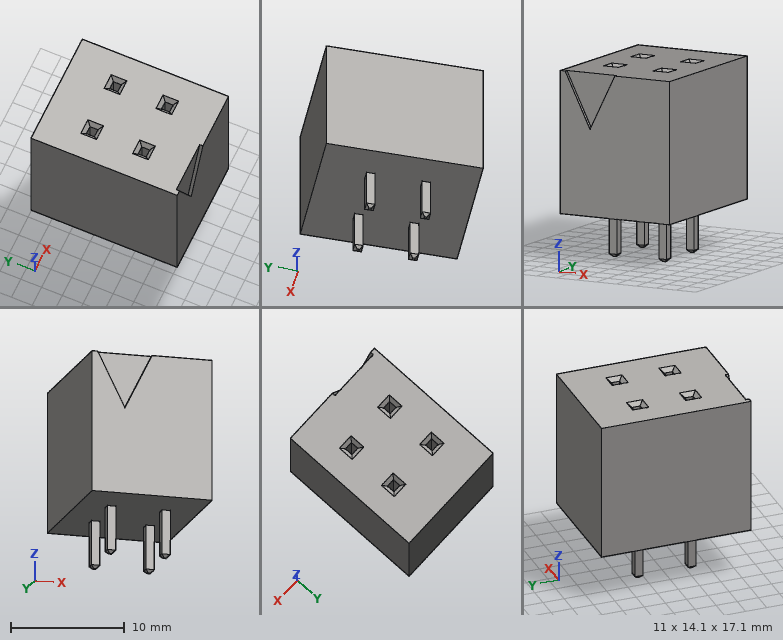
import cadquery as cq

HOUSING_WIDTH = 11.0
HOUSING_DEPTH = 14.1
HOUSING_HEIGHT = 12.8
TOTAL_HEIGHT = 17.1

PITCH = 5.0
CONTACTS_X = 2
CONTACTS_Y = 2

PIN_SIZE = 0.77
FLARE_SIZE = 1.5
FLARE_DEPTH = 0.38
PIN_TOP = HOUSING_HEIGHT / 2
PIN_BOTTOM = HOUSING_HEIGHT - TOTAL_HEIGHT
PIN_TIP_CHAMFER = 0.27

MARKER_WIDTH = PITCH
MARKER_HEIGHT = PITCH
MARKER_DEPTH = 0.3

FIRST_COLUMN_X = -(CONTACTS_X - 1) * PITCH / 2
FIRST_ROW_Y = -(CONTACTS_Y - 1) * PITCH / 2
CONTACT_POSITIONS = [
    (FIRST_COLUMN_X + column * PITCH, FIRST_ROW_Y + row * PITCH)
    for column in range(CONTACTS_X)
    for row in range(CONTACTS_Y)
]


def make_contact_hole(x, y):
    """Square through hole with a pyramidal lead-in at its top."""
    shaft = (
        cq.Workplane("XY")
        .center(x, y)
        .rect(PIN_SIZE, PIN_SIZE)
        .extrude(HOUSING_HEIGHT)
    )
    flare = (
        cq.Workplane("XY", origin=(x, y, HOUSING_HEIGHT - FLARE_DEPTH))
        .rect(PIN_SIZE, PIN_SIZE)
        .workplane(offset=FLARE_DEPTH)
        .rect(FLARE_SIZE, FLARE_SIZE)
        .loft(ruled=True)
    )
    return shaft.union(flare)


def make_marker():
    """Downward-pointing triangle that reaches into the block from its front face."""
    front_y = -HOUSING_DEPTH / 2
    return (
        cq.Workplane("XZ", origin=(FIRST_COLUMN_X, front_y, HOUSING_HEIGHT))
        .moveTo(-MARKER_WIDTH / 2, 0)
        .lineTo(MARKER_WIDTH / 2, 0)
        .lineTo(0, -MARKER_HEIGHT)
        .close()
        .extrude(-MARKER_DEPTH)
    )


def make_housing():
    """Rectangular block with the contact holes and the marker recess."""
    body = (
        cq.Workplane("XY")
        .rect(HOUSING_WIDTH, HOUSING_DEPTH)
        .extrude(HOUSING_HEIGHT)
    )
    for x, y in CONTACT_POSITIONS:
        body = body.cut(make_contact_hole(x, y))
    return body.cut(make_marker())


def make_pin(x, y):
    """Square pin with a chamfered lower tip."""
    return (
        cq.Workplane("XY", origin=(x, y, PIN_BOTTOM))
        .rect(PIN_SIZE, PIN_SIZE)
        .extrude(PIN_TOP - PIN_BOTTOM)
        .faces("<Z")
        .chamfer(PIN_TIP_CHAMFER)
    )


housing = make_housing()
pins = [make_pin(x, y).solids().val() for x, y in CONTACT_POSITIONS]

result = cq.Compound.makeCompound([housing.solids().val(), *pins])